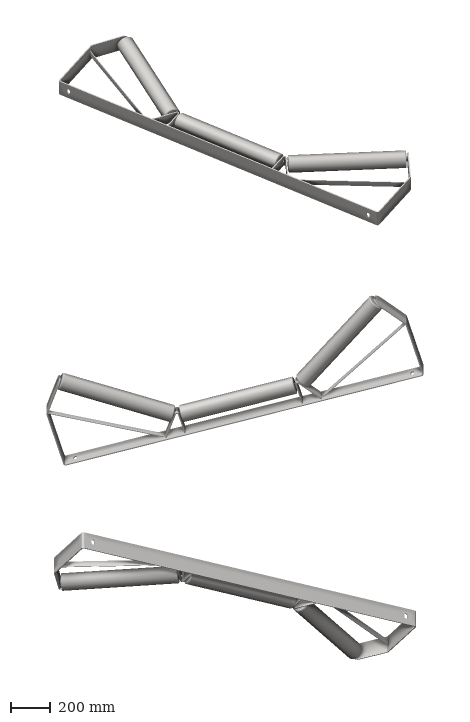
import cadquery as cq
import math

span = 1890.0
bar_width = 89.0
bar_thickness = 6.0
bend_radius = 12.1
arm_tip_height = 26.0
hole_width = 17.0
hole_height = 28.0
hole_inset = 60.0

drum_radius = bar_width / 2
drum_length = 595.0
drum_chamfer = 4.0
shaft_width = 17.0
shaft_height = 20.0
shaft_recess = 2.0
trough_angle = 35.0
middle_roller_y = 104.0
middle_gap = 8.0
side_roller_x = 585.0
side_roller_y = 287.0
side_gap = 6.6

bracket_width = 60.0

brace_width = 30.0
brace_thickness = 4.0
brace_foot_x = 421.0
brace_end_y = 302.0

half_span = span / 2
inner_bend_radius = bend_radius - bar_thickness
wall_inner_x = half_span - bar_thickness
middle_mount = drum_length / 2 + middle_gap
side_mount = drum_length / 2 + side_gap
axis_x = math.cos(math.radians(trough_angle))
axis_y = math.sin(math.radians(trough_angle))
clearance = 2 * bar_width


def side_point(along, across):
    """Point at a distance along the right side roller's axis and above it."""
    return (
        side_roller_x + along * axis_x - across * axis_y,
        side_roller_y + along * axis_y + across * axis_x,
    )


def side_point_at_x(along, x):
    """Point at the given X on the line square to the side roller's axis."""
    return side_point(along, (side_roller_x + along * axis_x - x) / axis_y)


def side_point_at_y(along, y):
    """Point at the given Y on the line square to the side roller's axis."""
    return side_point(along, (y - side_roller_y - along * axis_y) / axis_x)


def place_on_side(body):
    """Moves a body built along X at the origin onto the right side roller's axis."""
    turned = body.rotate((0, 0, 0), (0, 0, 1), trough_angle)
    return turned.translate((side_roller_x, side_roller_y, 0))


def mirrored(body):
    return body.mirror("YZ")


def plate(outline, width):
    """Flat-sided body with the given XY outline, centred on Z = 0."""
    base = cq.Workplane("XY").workplane(offset=-width / 2)
    return base.polyline(outline).close().extrude(width)


def round_corner(body, corner, radius):
    """Rounds the edge along Z at one corner of the outline."""
    nearest = cq.selectors.NearestToPointSelector((*corner, 0))
    return body.edges(nearest).fillet(radius)


def shaft_slot(along, thickness):
    """Slot through a plate square to X, open upwards, that fits a shaft end."""
    height = shaft_height / 2 + clearance
    slot = cq.Workplane("XY").box(thickness, height, shaft_width, centered=(False, False, True))
    return slot.translate((along, -shaft_height / 2, 0))


def arm_tip_waste():
    """Everything outside the half-round tip of an end arm."""
    center_y = arm_tip_height - drum_radius
    waste = (
        cq.Workplane("YZ").moveTo(center_y, -drum_radius)
        .threePointArc((arm_tip_height, 0), (center_y, drum_radius))
        .lineTo(center_y + clearance, drum_radius)
        .lineTo(center_y + clearance, -drum_radius)
        .close()
        .extrude(bar_thickness)
    )
    return waste.translate((side_mount, 0, 0))


def make_half_frame():
    """Right half of the bent bar, with its mounting hole and shaft slot."""
    arm_outer = side_mount + bar_thickness
    outer_corner = (half_span, 0)
    inner_corner = (wall_inner_x, bar_thickness)
    outer_arm_bend = side_point_at_x(arm_outer, half_span)
    inner_arm_bend = side_point_at_x(side_mount, wall_inner_x)
    body = plate(
        [
            (0, 0),
            outer_corner,
            outer_arm_bend,
            side_point(arm_outer, arm_tip_height),
            side_point(side_mount, arm_tip_height),
            inner_arm_bend,
            inner_corner,
            (0, bar_thickness),
        ],
        bar_width,
    )
    for corner in (outer_corner, outer_arm_bend):
        body = round_corner(body, corner, bend_radius)
    for corner in (inner_corner, inner_arm_bend):
        body = round_corner(body, corner, inner_bend_radius)
    body = body.cut(place_on_side(arm_tip_waste()))
    body = body.cut(place_on_side(shaft_slot(side_mount, bar_thickness)))
    hole = (
        cq.Workplane("XZ").center(half_span - hole_inset, 0)
        .slot2D(hole_height, hole_width, 90).extrude(-bar_thickness)
    )
    return body.cut(hole)


def make_brace():
    """Right brace: its square end is let into the wall, where one corner just reaches the outer face."""
    angle = math.atan2(brace_end_y - bar_thickness, half_span - brace_foot_x)
    end_run = brace_thickness * math.sin(angle)
    end_rise = brace_thickness * math.cos(angle)
    foot_length = brace_thickness / math.sin(angle)
    return plate(
        [
            (brace_foot_x, bar_thickness),
            (half_span, brace_end_y),
            (half_span - end_run, brace_end_y + end_rise),
            (brace_foot_x - foot_length, bar_thickness),
        ],
        brace_width,
    )


def make_bracket():
    """Right bracket: a strip folded over a ridge, one leg for each neighbouring roller."""
    back = -side_mount - bar_thickness
    ridge = side_point_at_x(-side_mount, middle_mount)
    crotch = side_point_at_x(back, middle_mount + bar_thickness)
    body = plate(
        [
            (middle_mount, bar_thickness),
            ridge,
            side_point_at_y(-side_mount, bar_thickness),
            side_point_at_y(back, bar_thickness),
            crotch,
            (middle_mount + bar_thickness, bar_thickness),
        ],
        bracket_width,
    )
    body = round_corner(body, ridge, bend_radius)
    body = round_corner(body, crotch, inner_bend_radius)
    body = body.cut(place_on_side(shaft_slot(back, bar_thickness)))
    return body.cut(shaft_slot(middle_mount, bar_thickness).translate((0, middle_roller_y, 0)))


def make_roller(gap):
    """Roller along X at the origin; its shaft ends reach into the plates beyond the gap."""
    drum = cq.Workplane("YZ").workplane(offset=-drum_length / 2).circle(drum_radius).extrude(drum_length)
    drum = drum.faces("<X or >X").edges().chamfer(drum_chamfer)
    shaft_length = drum_length + 2 * (gap + bar_thickness - shaft_recess)
    return drum.union(cq.Workplane("XY").box(shaft_length, shaft_height, shaft_width))


brace = make_brace()
half_frame = make_half_frame().cut(brace)
frame = half_frame.union(mirrored(half_frame))
bracket = make_bracket()
middle_roller = make_roller(middle_gap).translate((0, middle_roller_y, 0))
side_roller = place_on_side(make_roller(side_gap))

bodies = [frame, middle_roller]
for right_body in (brace, bracket, side_roller):
    bodies += [right_body, mirrored(right_body)]

result = cq.Compound.makeCompound([body.val() for body in bodies])